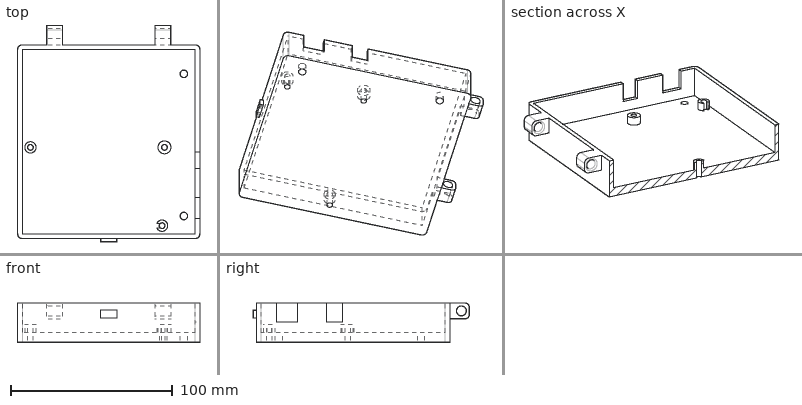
import cadquery as cq

BOX_LENGTH_X = 113.0
BOX_LENGTH_Y = 120.0
BOX_HEIGHT = 24.5
WALL = 3.0
FLOOR = 6.0
CORNER_RADIUS = 3.0

EAR_WIDTH = 10.0
EAR_REACH = 12.0
EAR_HEIGHT = 10.0
EAR_INSET = 18.0
EAR_ROUNDING = 3.0
PIN_HOLE_DIAMETER = 6.0
PIN_MOUTH_ROUNDING = 1.0
PIN_TO_EAR_TIP = 5.0

LATCH_WIDTH = 10.0
LATCH_REACH = 2.0
LATCH_HEIGHT = 5.0
LATCH_BELOW_RIM = 4.5

NOTCHES = [(-11.5, 10.0), (-41.0, 13.0)]
NOTCH_DEPTH = 12.0

MOUNT_HOLE_DIAMETER = 4.5
MOUNT_HOLE_X = 46.5
MOUNT_HOLE_YS = [42.0, -46.0]

SLOTTED_BOSS = (33.0, -52.0, 7.0)
BOSSES = [(-48.5, -3.5, 7.0), (34.5, -3.5, 8.0), SLOTTED_BOSS]
BOSS_HEIGHT = 5.0
SCREW_HOLE_DIAMETER = 3.4
BOSS_SLOT_WIDTH = 3.0

HALF_X = BOX_LENGTH_X / 2
HALF_Y = BOX_LENGTH_Y / 2


def block(x_range, y_range, z_range):
    """Axis-aligned box given by its (low, high) limits on each axis."""
    (x0, x1), (y0, y1), (z0, z1) = x_range, y_range, z_range
    return cq.Workplane("XY").box(x1 - x0, y1 - y0, z1 - z0, centered=False).translate((x0, y0, z0))


def cylinder(x, y, z, diameter, height):
    """Upright cylinder whose base centre is (x, y, z)."""
    return cq.Workplane("XY").circle(diameter / 2).extrude(height).translate((x, y, z))


def open_box():
    """Tray with rounded outer corners and a square-cornered cavity."""
    shell = cq.Workplane("XY").box(BOX_LENGTH_X, BOX_LENGTH_Y, BOX_HEIGHT, centered=(True, True, False))
    shell = shell.edges("|Z").fillet(CORNER_RADIUS)
    inner_x = HALF_X - WALL
    inner_y = HALF_Y - WALL
    return shell.cut(block((-inner_x, inner_x), (-inner_y, inner_y), (FLOOR, BOX_HEIGHT)))


def hinge_ear(x_start):
    """Ear starting at x_start, with a pin hole along X rounded over at its -X mouth."""
    tip_y = HALF_Y + EAR_REACH
    ear = block(
        (x_start, x_start + EAR_WIDTH),
        (HALF_Y, tip_y),
        (BOX_HEIGHT - EAR_HEIGHT, BOX_HEIGHT),
    )
    pin_y = tip_y - PIN_TO_EAR_TIP
    pin_z = BOX_HEIGHT - EAR_HEIGHT / 2
    pin_hole = cq.Workplane("YZ", origin=(x_start, pin_y, pin_z))
    pin_hole = pin_hole.circle(PIN_HOLE_DIAMETER / 2).extrude(EAR_WIDTH)
    ear = ear.cut(pin_hole)
    ear = ear.faces("<X").edges("%CIRCLE").fillet(PIN_MOUTH_ROUNDING)
    return ear.edges("|X and >Y").fillet(EAR_ROUNDING)


def latch():
    """Small catch on the outside of the -Y wall."""
    top = BOX_HEIGHT - LATCH_BELOW_RIM
    return block(
        (-LATCH_WIDTH / 2, LATCH_WIDTH / 2),
        (-HALF_Y - LATCH_REACH, -HALF_Y),
        (top - LATCH_HEIGHT, top),
    )


def wall_notch(center_y, width):
    """Cutter for a rectangular notch from the rim down through the +X wall."""
    return block(
        (HALF_X - WALL, HALF_X),
        (center_y - width / 2, center_y + width / 2),
        (BOX_HEIGHT - NOTCH_DEPTH, BOX_HEIGHT),
    )


def boss_slot():
    """Cutter that opens the slotted boss toward -X, above the floor."""
    x, y, diameter = SLOTTED_BOSS
    return block(
        (x - diameter / 2, x),
        (y - BOSS_SLOT_WIDTH / 2, y + BOSS_SLOT_WIDTH / 2),
        (FLOOR, FLOOR + BOSS_HEIGHT),
    )


result = open_box()

for ear_start in (-HALF_X + EAR_INSET, HALF_X - EAR_INSET - EAR_WIDTH):
    result = result.union(hinge_ear(ear_start))
result = result.union(latch())

for notch_y, notch_width in NOTCHES:
    result = result.cut(wall_notch(notch_y, notch_width))

for boss_x, boss_y, boss_diameter in BOSSES:
    result = result.union(cylinder(boss_x, boss_y, FLOOR, boss_diameter, BOSS_HEIGHT))
result = result.cut(boss_slot())
for boss_x, boss_y, _ in BOSSES:
    result = result.cut(cylinder(boss_x, boss_y, 0, SCREW_HOLE_DIAMETER, FLOOR + BOSS_HEIGHT))

for hole_y in MOUNT_HOLE_YS:
    result = result.cut(cylinder(MOUNT_HOLE_X, hole_y, 0, MOUNT_HOLE_DIAMETER, FLOOR))